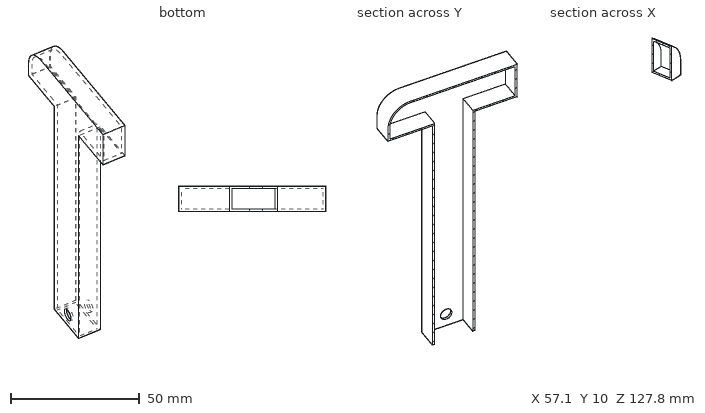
import cadquery as cq

height = 127.8
thickness = 10.0
wall = 1.0

head_width = 57.1
head_height = 16.6
corner_radius = 10.0

handle_offset = 19.7
handle_width = 18.8

hole_diameter = 5.0
hole_x = 30.0
hole_z = 5.8


def t_body(inset):
    """Solid T, moved in from the outer faces by the inset; its foot always ends at Z = 0."""
    depth = thickness - 2 * inset
    head_bottom = height - head_height + inset
    head = (
        cq.Workplane("XY")
        .box(head_width - 2 * inset, depth, head_height - 2 * inset, centered=False)
        .translate((inset, inset, head_bottom))
        .edges("<X and >Z")
        .fillet(corner_radius - inset)
    )
    handle = (
        cq.Workplane("XY")
        .box(handle_width - 2 * inset, depth, head_bottom, centered=False)
        .translate((handle_offset + inset, inset, 0))
    )
    return head.union(handle)


def cross_hole():
    """Round cutter along Y through the front and back walls."""
    return (
        cq.Workplane("XZ")
        .center(hole_x, hole_z)
        .circle(hole_diameter / 2)
        .extrude(-thickness)
    )


result = t_body(0).cut(t_body(wall)).cut(cross_hole())